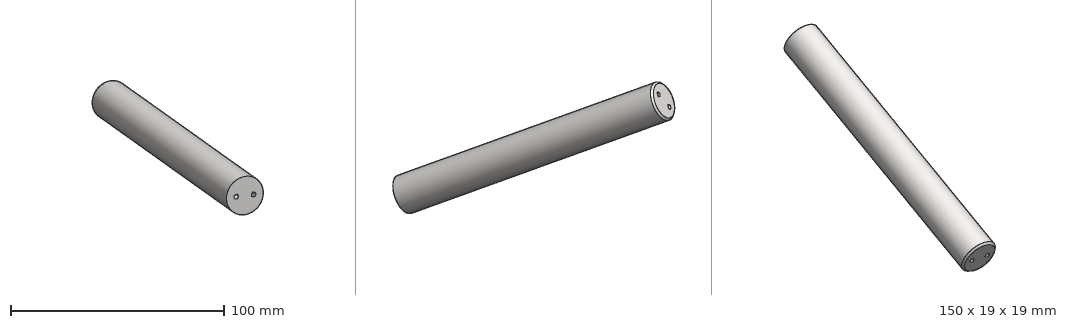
import cadquery as cq
import math

bar_length = 150.0
bar_diameter = 19.0
end_chamfer = 1.0

channel_diameter = 2.2
channel_circle_radius = 4.5
start_angle = 17.5
helix_angle = 30.0

helix_pitch = math.pi * bar_diameter / math.tan(math.radians(helix_angle))
twist_angle = 360 * bar_length / helix_pitch


def make_bar():
    """Cylinder from X = 0 to X = bar_length, chamfered at X = 0."""
    bar = cq.Workplane("YZ").circle(bar_diameter / 2).extrude(bar_length)
    return bar.faces("<X").chamfer(end_chamfer)


def make_channels():
    """Two right-handed twisted cylinders, round in every section across X."""
    return (
        cq.Workplane("YZ")
        .polarArray(channel_circle_radius, start_angle, 360, 2)
        .circle(channel_diameter / 2)
        .twistExtrude(bar_length, twist_angle)
    )


result = make_bar().cut(make_channels())